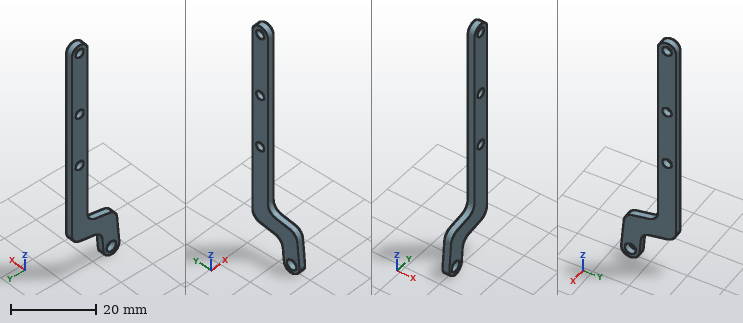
import cadquery as cq
import math

thickness = 2.0
strip_width = 5.0
half_width = strip_width / 2
bend_radius = 3.0

top_hole = (0.0, 0.0)
foot_hole = (-10.0, -66.0)
shank_hole_diameter = 2.5
foot_hole_diameter = 3.0
shank_hole_drops = (0.0, 19.0, 35.0)

crossbar_slope = math.radians(10.0)
foot_tilt = math.radians(5.0)
shank_turn = math.pi / 2 - crossbar_slope
shank_inner_edge = 54.0
shank_length = shank_inner_edge + half_width * math.tan(shank_turn / 2)


def find_foot_bend():
    """Point where the crossbar centreline meets the foot centreline."""
    foot_side, foot_drop = -foot_hole[0], -foot_hole[1]
    slope = math.tan(crossbar_slope)
    tilt = math.tan(foot_tilt)
    side = (foot_side - tilt * (foot_drop - shank_length)) / (1 - tilt * slope)
    return (-side, -(shank_length + side * slope))


shank_bend = (0.0, -shank_length)
foot_bend = find_foot_bend()

shank_heading = (0.0, -1.0)
crossbar_heading = (-math.cos(crossbar_slope), -math.sin(crossbar_slope))
foot_heading = (-math.sin(foot_tilt), -math.cos(foot_tilt))


def beside(point, heading, side):
    """Strip edge point square to a heading; side is +1 for left, -1 for right."""
    return (
        point[0] - side * half_width * heading[1],
        point[1] + side * half_width * heading[0],
    )


def mitre(point, heading_in, heading_out, side):
    """Sharp strip edge corner where two runs meet at a centreline bend."""
    alignment = heading_in[0] * heading_out[0] + heading_in[1] * heading_out[1]
    reach = side * half_width / (1 + alignment)
    return (
        point[0] - reach * (heading_in[1] + heading_out[1]),
        point[1] + reach * (heading_in[0] + heading_out[0]),
    )


def edge_corners(side):
    """The two bend corners along one edge of the strip, from the top down."""
    return [
        mitre(shank_bend, shank_heading, crossbar_heading, side),
        mitre(foot_bend, crossbar_heading, foot_heading, side),
    ]


def make_strip():
    """Bent strip with full-round ends and rounded bends."""
    left_corners = edge_corners(1)
    right_corners = edge_corners(-1)
    top_tip = (top_hole[0], top_hole[1] + half_width)
    foot_tip = (
        foot_hole[0] + half_width * foot_heading[0],
        foot_hole[1] + half_width * foot_heading[1],
    )
    outline = cq.Workplane("YZ").moveTo(*beside(top_hole, shank_heading, 1))
    for corner in left_corners:
        outline = outline.lineTo(*corner)
    outline = (
        outline.lineTo(*beside(foot_hole, foot_heading, 1))
        .threePointArc(foot_tip, beside(foot_hole, foot_heading, -1))
    )
    for corner in reversed(right_corners):
        outline = outline.lineTo(*corner)
    outline = (
        outline.lineTo(*beside(top_hole, shank_heading, -1))
        .threePointArc(top_tip, beside(top_hole, shank_heading, 1))
        .close()
    )
    strip = outline.extrude(thickness)
    for y, z in left_corners + right_corners:
        bend_edge = cq.selectors.NearestToPointSelector((thickness / 2, y, z))
        strip = strip.edges("|X").edges(bend_edge).fillet(bend_radius)
    return strip


def drill(strip, center, diameter):
    """Cut a round through hole along X."""
    cutter = cq.Workplane("YZ").center(*center).circle(diameter / 2).extrude(thickness)
    return strip.cut(cutter)


result = make_strip()
for drop in shank_hole_drops:
    result = drill(result, (top_hole[0], top_hole[1] - drop), shank_hole_diameter)
result = drill(result, foot_hole, foot_hole_diameter)